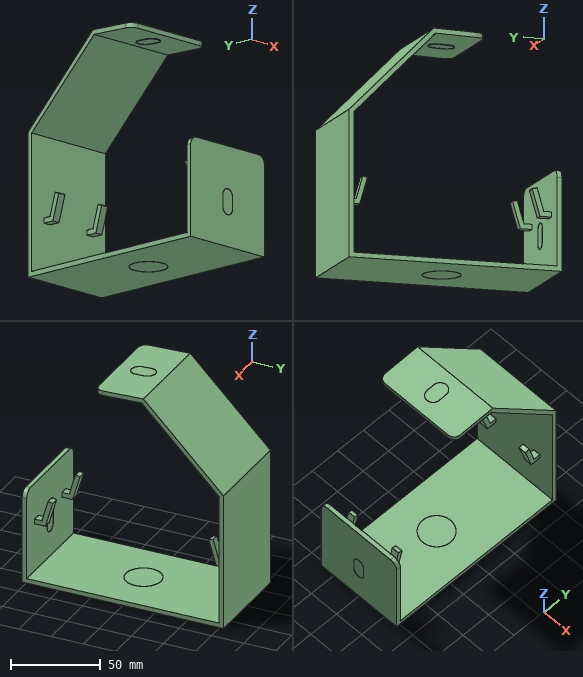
import cadquery as cq
import math

width = 60.0
depth = 125.1
sheet = 3.0
lip_height = 58.5
wall_height = 84.2
slope_run = 49.7
lid_length = 30.3
lid_droop = 2.0
corner_radius = 5.0

proud = 0.11
lid_underside_proud = 0.4
insert_thickness = sheet + 2 * proud
lid_insert_thickness = sheet + proud + lid_underside_proud
insert_y = 60.9
floor_insert_diameter = 21.7
slot_length = 15.0
lip_slot_width = 7.6
lip_slot_z = 26.0
lid_slot_width = 9.7

hook_width = 5.0
hook_spacing = 34.9
hook_z = 32.8
hook_foot = 6.7
hook_arm = 16.1
hook_lean = 16.5
hook_thickness = sheet

knee_y = depth - slope_run
knee_z = wall_height + slope_run
droop = math.radians(lid_droop)
lid_direction = (-math.cos(droop), -math.sin(droop))
lid_normal = (math.sin(droop), -math.cos(droop))


def along_lid(distance, inward):
    """Return the (y, z) point at a distance from the knee and a depth below the lid's top."""
    return (
        knee_y + distance * lid_direction[0] + inward * lid_normal[0],
        knee_z + distance * lid_direction[1] + inward * lid_normal[1],
    )


def extrude_across(points, across, x_center=0):
    """Extrude a closed (y, z) outline along X, centred on x_center."""
    return cq.Workplane("YZ", origin=(x_center, 0, 0)).polyline(points).close().extrude(across / 2, both=True)


def make_sheet():
    wall_miter = sheet * math.tan(math.radians(45) / 2)
    knee_miter = sheet * math.tan((math.radians(45) + droop) / 2)
    outline = [
        (0, lip_height),
        (0, 0),
        (depth, 0),
        (depth, wall_height),
        (knee_y, knee_z),
        along_lid(lid_length, 0),
        along_lid(lid_length, sheet),
        along_lid(knee_miter, sheet),
        (depth - sheet, wall_height - wall_miter),
        (depth - sheet, sheet),
        (sheet, sheet),
        (sheet, lip_height),
    ]
    return extrude_across(outline, width)


lip_plane = cq.Plane(origin=(0, 0, 0), xDir=(1, 0, 0), normal=(0, -1, 0))
lid_plane = cq.Plane(
    origin=(0, knee_y, knee_z), xDir=(-1, 0, 0), normal=(0, -lid_normal[0], -lid_normal[1])
)


def round_flap_corners(body, plane, length):
    """Round both free corners of a flap lying just below the given plane."""
    waste = cq.Workplane(plane)
    for side in (-1, 1):
        edge = side * width / 2
        shoulder = edge - side * corner_radius
        bevel = corner_radius * (1 - math.sqrt(0.5))
        waste = (
            waste.moveTo(edge, length - corner_radius)
            .threePointArc((edge - side * bevel, length - bevel), (shoulder, length))
            .lineTo(edge, length)
            .close()
        )
    return body.cut(waste.extrude(-sheet))


def slot_insert(plane, slot_width, position, thickness):
    """Slot-shaped insert, long axis along the flap, through its thickness."""
    return (
        cq.Workplane(plane)
        .workplane(offset=proud)
        .center(0, position)
        .slot2D(slot_length, slot_width, 90)
        .extrude(-thickness)
    )


def make_hook(face_y, inward, x_center):
    """Foot standing off a face at face_y, with an arm leaning further inward (+1 or -1 in Y)."""
    lean = math.radians(hook_lean)
    inside_foot = hook_foot - hook_thickness * math.tan(math.radians(90 - hook_lean) / 2)
    tip_run = hook_foot + hook_arm * math.sin(lean)
    tip_z = hook_z + hook_arm * math.cos(lean)
    profile = [
        (-sheet / 2, hook_z),
        (hook_foot, hook_z),
        (tip_run, tip_z),
        (tip_run - hook_thickness * math.cos(lean), tip_z + hook_thickness * math.sin(lean)),
        (inside_foot, hook_z + hook_thickness),
        (-sheet / 2, hook_z + hook_thickness),
    ]
    points = [(face_y + inward * run, z) for run, z in profile]
    return extrude_across(points, hook_width, x_center)


result = make_sheet()
result = round_flap_corners(result, lip_plane, lip_height)
result = round_flap_corners(result, lid_plane, lid_length)

floor_insert = (
    cq.Workplane("XY", origin=(0, insert_y, -proud))
    .circle(floor_insert_diameter / 2)
    .extrude(insert_thickness)
)
result = result.union(floor_insert)
result = result.union(slot_insert(lip_plane, lip_slot_width, lip_slot_z, insert_thickness))
lid_slot_position = (knee_y - insert_y) / math.cos(droop)
result = result.union(slot_insert(lid_plane, lid_slot_width, lid_slot_position, lid_insert_thickness))

for hook_x in (-hook_spacing / 2, hook_spacing / 2):
    result = result.union(make_hook(sheet, 1, hook_x))
    result = result.union(make_hook(depth - sheet, -1, hook_x))